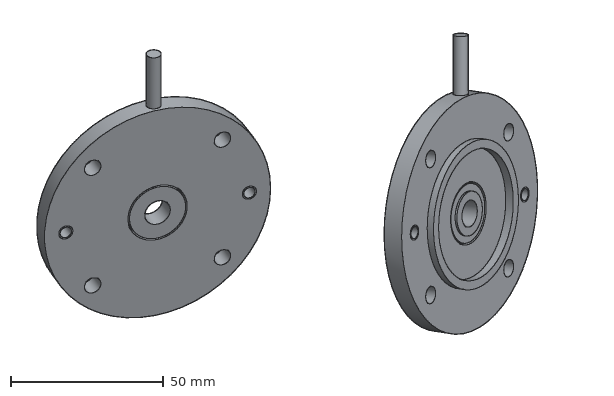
import cadquery as cq
import math

flange_diameter = 80.0
flange_thickness = 7.0
rim_diameter = 50.0
rim_height = 2.5
recess_diameter = 44.0
bore_diameter = 21.0

bolt_circle_diameter = 64.9
bolt_hole_diameter = 5.8
bolt_angles = (45, 135, 225, 315)
bushing_angles = (0, 180)
bushing_outer_diameter = 5.0
bushing_inner_diameter = 4.0

cover_drop = 3.0
cover_thickness = 2.0

hub_diameter = 19.9
hub_bore_diameter = 9.0
hub_boss_diameter = 15.0
hub_boss_height = 0.7
hub_drop = 2.5

overall_height = 99.9
cable_diameter = 5.0
cable_seat_depth = 2.0

flange_radius = flange_diameter / 2
bolt_circle_radius = bolt_circle_diameter / 2
rim_face_x = -rim_height
cover_face_x = rim_face_x + cover_drop
cover_back_x = cover_face_x + cover_thickness
hub_face_x = rim_face_x + hub_drop
hub_shoulder_x = hub_face_x + hub_boss_height
cable_top_z = overall_height - flange_radius
cable_bottom_z = flange_radius - cable_seat_depth


def disc(diameter, start_x, end_x, y=0, z=0):
    """Solid cylinder along X between two X positions."""
    plane = cq.Workplane("YZ", origin=(start_x, y, z))
    return plane.circle(diameter / 2).extrude(end_x - start_x)


def bolt_circle_point(angle):
    """Y and Z of a point on the bolt circle, with the angle measured from +Y."""
    turn = math.radians(angle)
    return bolt_circle_radius * math.cos(turn), bolt_circle_radius * math.sin(turn)


def make_cable():
    plane = cq.Workplane("XY", origin=(flange_thickness / 2, 0, cable_bottom_z))
    return plane.circle(cable_diameter / 2).extrude(cable_top_z - cable_bottom_z)


def make_flange():
    body = disc(flange_diameter, 0, flange_thickness)
    body = body.union(disc(rim_diameter, rim_face_x, 0))
    body = body.cut(disc(recess_diameter, rim_face_x, cover_back_x))
    body = body.cut(disc(bore_diameter, cover_back_x, flange_thickness))
    for angle in bolt_angles:
        body = body.cut(disc(bolt_hole_diameter, 0, flange_thickness, *bolt_circle_point(angle)))
    for angle in bushing_angles:
        body = body.cut(disc(bushing_outer_diameter, 0, flange_thickness, *bolt_circle_point(angle)))
    return body.cut(make_cable())


def make_cover():
    body = disc(recess_diameter, cover_face_x, cover_back_x)
    return body.cut(disc(bore_diameter, cover_face_x, cover_back_x))


def make_hub():
    body = disc(hub_diameter, hub_shoulder_x, flange_thickness)
    body = body.union(disc(hub_boss_diameter, hub_face_x, hub_shoulder_x))
    return body.cut(disc(hub_bore_diameter, hub_face_x, flange_thickness))


def make_bushing(angle):
    y, z = bolt_circle_point(angle)
    body = disc(bushing_outer_diameter, 0, flange_thickness, y, z)
    return body.cut(disc(bushing_inner_diameter, 0, flange_thickness, y, z))


flange = make_flange()
cover = make_cover()
hub = make_hub()
cable = make_cable()
bushings = [make_bushing(angle) for angle in bushing_angles]

result = cq.Compound.makeCompound(
    [flange.val(), cover.val(), hub.val(), cable.val(), *[bushing.val() for bushing in bushings]]
)